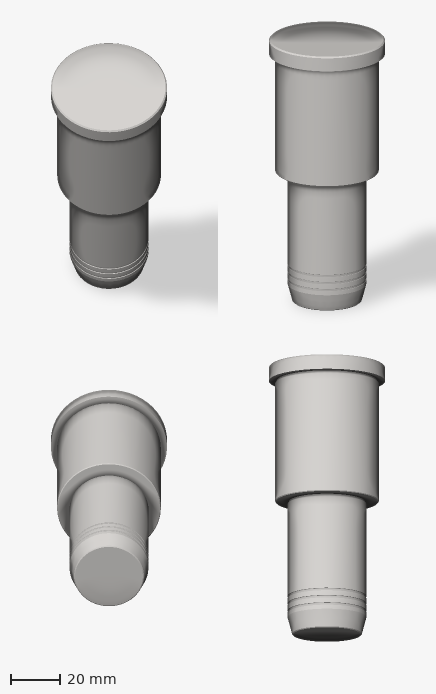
import cadquery as cq
import math

total_length = 111.0
head_height = 6.1
body_bottom = 55.0
taper_height = 7.2

head_radius = 47.0 / 2
body_radius = 21.0
shank_radius = 16.0
taper_angle = 15.0
tip_radius = shank_radius - taper_height * math.tan(math.radians(taper_angle))

head_chamfer = 0.5
body_chamfer = 0.3
tip_chamfer = 0.3

neck_height = 1.0
neck_depth = 0.5

groove_count = 3
groove_width = 1.0
groove_depth = 0.3
groove_corner_radius = 0.28
groove_pitch = 3.0
lowest_groove_bottom = 8.9

head_bottom = total_length - head_height


def cylinder(radius, bottom, top):
    return cq.Workplane("XY").workplane(offset=bottom).circle(radius).extrude(top - bottom)


def groove_cut(bottom):
    """Ring groove whose upper inner corner is rounded."""
    top = bottom + groove_width
    floor_radius = shank_radius - groove_depth
    arc_offset = groove_corner_radius * (1 - math.sqrt(0.5))
    return (
        cq.Workplane("XZ")
        .moveTo(shank_radius, bottom)
        .lineTo(floor_radius, bottom)
        .lineTo(floor_radius, top - groove_corner_radius)
        .threePointArc(
            (floor_radius + arc_offset, top - arc_offset),
            (floor_radius + groove_corner_radius, top),
        )
        .lineTo(shank_radius, top)
        .close()
        .revolve(360, (0, 0), (0, 1))
    )


def relief_cut(radius, top):
    """Ring with a vertical neck wall and a 45 degree lower flank."""
    neck_radius = radius - neck_depth
    bottom = top - neck_height
    profile = [
        (neck_radius, top),
        (radius, top),
        (radius, bottom),
        (neck_radius, bottom + neck_depth),
    ]
    return cq.Workplane("XZ").polyline(profile).close().revolve(360, (0, 0), (0, 1))


head = cylinder(head_radius, head_bottom, total_length).faces(">Z").edges().chamfer(head_chamfer)
body = cylinder(body_radius, body_bottom, head_bottom).faces("<Z").edges().chamfer(body_chamfer)
body = body.cut(relief_cut(body_radius, head_bottom))

shank = cylinder(shank_radius, taper_height, body_bottom)
shank = shank.cut(relief_cut(shank_radius, body_bottom))
for index in range(groove_count):
    groove_bottom = lowest_groove_bottom + index * groove_pitch
    shank = shank.cut(groove_cut(groove_bottom))

tip = (
    cq.Workplane("XY")
    .circle(tip_radius)
    .workplane(offset=taper_height)
    .circle(shank_radius)
    .loft()
    .faces("<Z")
    .edges()
    .chamfer(tip_chamfer)
)

result = head.union(body).union(shank).union(tip)